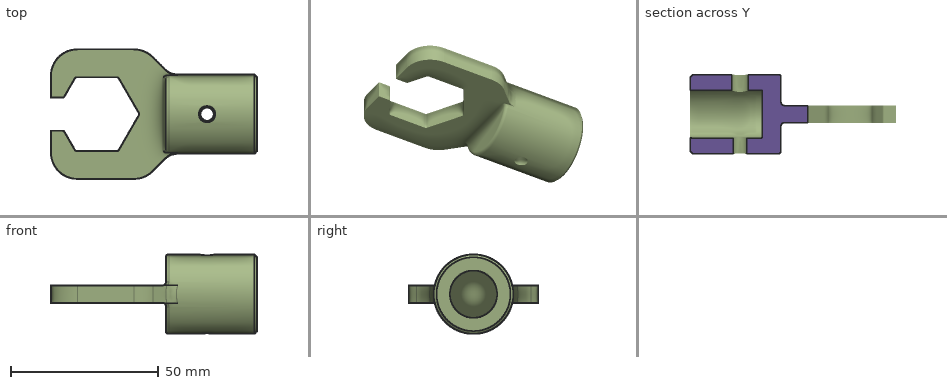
import cadquery as cq
import math

total_length = 70.0
head_width = 44.0
plate_thickness = 6.0

head_corner_radius = 9.0
shoulder_start_x = 31.9
hex_across_flats = 25.0
hex_center_x = 15.6
hex_corner_radius = 0.7
mouth_width = 11.2

socket_diameter = 27.0
socket_length = 31.0
bore_diameter = 16.0
bore_depth = 24.5
end_chamfer = 1.0
rim_radius = 1.0
root_radius = 1.0
neck_radius = 5.0

pin_offset_from_end = 17.0
upper_pin_diameter = 5.5
lower_pin_diameter = 4.5

socket_radius = socket_diameter / 2
socket_start_x = total_length - socket_length
hex_circumradius = hex_across_flats / math.sqrt(3)
half_width = head_width / 2
shoulder_end_x = shoulder_start_x + half_width - socket_radius


def make_plate():
    """Flat head with rounded corners; its tail is buried inside the socket."""
    tail_half_width = socket_radius / 2
    tail_end_x = shoulder_end_x + socket_radius - tail_half_width
    outline = [
        (0, -half_width),
        (shoulder_start_x, -half_width),
        (tail_end_x, -tail_half_width),
        (tail_end_x, tail_half_width),
        (shoulder_start_x, half_width),
        (0, half_width),
    ]
    plate = cq.Workplane("XY").polyline(outline).close().extrude(plate_thickness / 2, both=True)
    head_corners = cq.selectors.BoxSelector(
        (-0.7, -head_width, -plate_thickness),
        (shoulder_start_x + 0.7, head_width, plate_thickness),
    )
    return plate.edges("|Z").edges(head_corners).fillet(head_corner_radius)


def make_socket():
    """Solid socket cylinder, chamfered at its open end."""
    socket = cq.Workplane("YZ", origin=(socket_start_x, 0, 0)).circle(socket_radius).extrude(socket_length)
    socket = socket.faces(">X").edges("%CIRCLE").chamfer(end_chamfer)
    return socket.rotate((0, 0, 0), (1, 0, 0), -90)


def box_edges(body, x_range, y_range, z_range):
    """Edges of the body whose centers lie inside a box."""
    low, high = zip(x_range, y_range, z_range)
    return body.edges(cq.selectors.BoxSelector(low, high))


def blend_head_into_socket(body):
    """Round the shoulder junctions, the roots along the plate, and the front rim."""
    plate_top = plate_thickness / 2
    near_socket = (socket_start_x, shoulder_end_x + 0.7)
    for side in (-1, 1):
        y_range = sorted((side * (socket_radius - 0.7), side * (socket_radius + 0.7)))
        body = box_edges(body, near_socket, y_range, (-0.7, 0.7)).fillet(neck_radius)
    flat_face_x = (socket_start_x - 0.1, socket_start_x + 0.1)
    for side in (-1, 1):
        z_range = sorted((side * (plate_top - 0.1), side * (plate_top + 0.1)))
        body = box_edges(body, flat_face_x, (-0.7, 0.7), z_range).fillet(root_radius)
    front_face_edges = body.faces(cq.selectors.BoxSelector(
        (socket_start_x - 0.1, -socket_radius, -socket_radius),
        (socket_start_x + 0.1, socket_radius, socket_radius),
    )).edges("%CIRCLE")
    return front_face_edges.fillet(rim_radius)


def make_jaw_cutter():
    """Hexagonal opening joined to the open mouth, with softened corners."""
    hexagon = (
        cq.Workplane("XY", origin=(hex_center_x, 0, -plate_thickness))
        .polygon(6, 2 * hex_circumradius)
        .extrude(2 * plate_thickness)
    )
    mouth = cq.Workplane("XY").box(2 * hex_center_x, mouth_width, 2 * plate_thickness)
    opening = hexagon.union(mouth)
    return opening.edges("|Z").fillet(hex_corner_radius)


def make_socket_cutter():
    """Blind bore for the handle spigot, with the stepped pin hole crossing it."""
    pin_plane = cq.Workplane("XY", origin=(total_length - pin_offset_from_end, 0, 0))
    bore = cq.Workplane("YZ", origin=(total_length, 0, 0)).circle(bore_diameter / 2).extrude(-bore_depth)
    upper_pin_hole = pin_plane.circle(upper_pin_diameter / 2).extrude(socket_radius)
    lower_pin_hole = pin_plane.circle(lower_pin_diameter / 2).extrude(-socket_radius)
    return bore.union(upper_pin_hole).union(lower_pin_hole)


solid_wrench = blend_head_into_socket(make_plate().union(make_socket()))
result = solid_wrench.cut(make_jaw_cutter()).cut(make_socket_cutter())